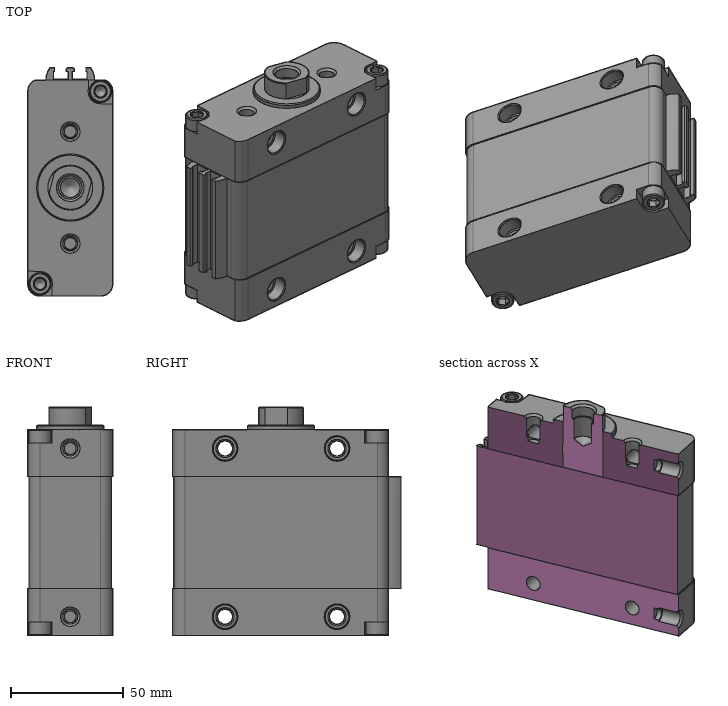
import cadquery as cq
import math

cap_height = 21.0
barrel_height = 50.0
cap_width = 38.0
cap_corner_radius = 5.5
barrel_corner_radius = 5.0
screw_y = 42.9

rail_top_y = 53.5
rail_floor_y = 48.6
rail_half_base = 10.9
rail_half_top = 9.1
lip_half_gap = 6.9
slot_half_width = 7.4
lip_thickness = 1.8
tee_half_width = 1.8
tee_stem_half_width = 0.9
tee_corner = 0.6

pocket_diameter = 11.0
pocket_depth = 6.0
pocket_turn = -2.0
head_diameter = 10.0
head_height = pocket_depth
head_chamfer = 0.5
socket_width = 5.0
socket_rim_diameter = 5.9
socket_depth = 4.1

hole_spacing = 50.0
hole_inset = 8.5
tap_rim_diameter = 8.7
tap_diameter = 6.6
tap_core_diameter = 5.3
tap_depth = 10.0
tap_core_depth = 12.2
mount_bore_diameter = 10.5
mount_rim_diameter = 11.4
mount_bore_depth = 6.1
mount_seat_diameter = 8.2
mount_hole_diameter = 6.6

collar_diameter = 30.0
collar_height = 2.0
collar_chamfer = 0.5
rod_diameter = 20.0
rod_reach = 10.0
rod_chamfer = 0.3
flat_width = 17.0
flat_turn = -15.0
rod_rim_diameter = 12.3
rod_bore_diameter = 10.4
rod_bore_depth = 5.5
rod_core_diameter = 8.8
rod_core_depth = 15.3
drill_half_angle = 59.0

screw_x = cap_width / 2 - cap_corner_radius
back_y = screw_y + barrel_corner_radius
top_cap_z = cap_height + barrel_height
top_z = top_cap_z + cap_height
rod_top_z = top_z + rod_reach


def cone_down(diameter, tip_half_angle=drill_half_angle):
    """Drill point below Z = 0, pointing down."""
    radius = diameter / 2
    depth = radius / math.tan(math.radians(tip_half_angle))
    return cq.Solid.makeCone(radius, 0, depth, dir=cq.Vector(0, 0, -1))


def countersink(large_diameter, small_diameter):
    """45 degree rim cutter below Z = 0."""
    depth = (large_diameter - small_diameter) / 2
    return cq.Solid.makeCone(large_diameter / 2, small_diameter / 2, depth, dir=cq.Vector(0, 0, -1))


def bore(diameter, depth):
    """Plain round cutter below Z = 0."""
    return cq.Solid.makeCylinder(diameter / 2, depth, dir=cq.Vector(0, 0, -1))


def rounded_block(corner_radius, height):
    """Block with vertical edges rounded about the screw axes, cut flat at the back."""
    front_y = -(screw_y + corner_radius)
    depth = back_y - front_y
    in_front_of_back = (
        cq.Workplane("XY")
        .center(0, (front_y + back_y) / 2)
        .rect(cap_width, depth)
        .extrude(height)
    )
    return (
        cq.Workplane("XY")
        .rect(2 * (screw_x + corner_radius), 2 * (screw_y + corner_radius))
        .extrude(height)
        .edges("|Z")
        .fillet(corner_radius)
        .intersect(in_front_of_back)
    )


def tapped_hole():
    """Countersunk thread bore with a narrower core hole below it."""
    cutter = cq.Workplane(bore(tap_core_diameter, tap_core_depth))
    cutter = cutter.union(bore(tap_diameter, tap_depth))
    return cutter.union(countersink(tap_rim_diameter, tap_diameter))


def mounting_hole():
    """Through hole along X, counterbored from both sides."""
    half_width = screw_x + cap_corner_radius
    cutter = cq.Workplane(bore(mount_hole_diameter, half_width))
    cutter = cutter.union(bore(mount_bore_diameter, mount_bore_depth))
    cutter = cutter.union(countersink(mount_rim_diameter, mount_bore_diameter))
    seat = countersink(mount_seat_diameter, mount_hole_diameter)
    cutter = cutter.union(cq.Workplane(seat).translate((0, 0, -mount_bore_depth)))
    cutter = cutter.translate((0, 0, half_width)).rotate((0, 0, 0), (0, 1, 0), -90)
    return cutter.union(cutter.mirror("YZ"))


def screw_pocket():
    """Corner pocket, open to +X and +Y, round on its inner corner; centred on the screw axis."""
    radius = pocket_diameter / 2
    reach = 2 * radius
    return (
        cq.Workplane("XY")
        .moveTo(-radius, reach)
        .lineTo(-radius, 0)
        .radiusArc((0, -radius), -radius)
        .lineTo(reach, -radius)
        .lineTo(reach, reach)
        .close()
        .extrude(-pocket_depth)
        .rotate((0, 0, 0), (0, 0, 1), pocket_turn)
    )


def screw_head():
    """Socket head standing on the pocket floor, which is at Z = 0."""
    head = cq.Workplane("XY").circle(head_diameter / 2).extrude(head_height)
    head = head.faces(">Z").edges().chamfer(head_chamfer)
    socket = (
        cq.Workplane("XY")
        .polygon(6, socket_width, circumscribed=True)
        .extrude(-socket_depth)
        .rotate((0, 0, 0), (0, 0, 1), 30)
    )
    socket = socket.union(countersink(socket_rim_diameter, socket_width))
    socket = socket.union(cq.Workplane(cone_down(socket_width)).translate((0, 0, -socket_depth)))
    return head.cut(socket.translate((0, 0, head_height)))


def make_cap():
    """Cap from Z = 0 up to its outer end face, with two corner screw heads."""
    cap = rounded_block(cap_corner_radius, cap_height)

    hole_z = cap_height - hole_inset
    for y in (-hole_spacing / 2, hole_spacing / 2):
        cap = cap.cut(mounting_hole().translate((0, y, hole_z)))

    front_y = -(screw_y + cap_corner_radius)
    port = tapped_hole().rotate((0, 0, 0), (1, 0, 0), 90)
    cap = cap.cut(port.translate((0, front_y, hole_z)))

    pocket = screw_pocket().translate((screw_x, screw_y, cap_height))
    head = screw_head().translate((screw_x, screw_y, cap_height - pocket_depth))
    for turn in (0, 180):
        cap = cap.cut(pocket.rotate((0, 0, 0), (0, 0, 1), turn))
        cap = cap.union(head.rotate((0, 0, 0), (0, 0, 1), turn))
    return cap


def make_bottom_cap():
    """Plain cap turned over, so its outer end face lies on Z = 0."""
    return make_cap().mirror("XY").translate((0, 0, cap_height))


def make_top_cap():
    """Cap with end taps, the bearing collar and the rod bore."""
    cap = make_cap()
    for y in (-hole_spacing / 2, hole_spacing / 2):
        cap = cap.cut(tapped_hole().translate((0, y, cap_height)))
    collar = cq.Workplane("XY").circle(collar_diameter / 2).extrude(collar_height)
    collar = collar.faces(">Z").edges().chamfer(collar_chamfer)
    cap = cap.union(collar.translate((0, 0, cap_height)))
    cap = cap.cut(cq.Workplane("XY").circle(rod_diameter / 2).extrude(cap_height + collar_height))
    return cap.translate((0, 0, top_cap_z))


def rail_profile():
    """Half of the rail section on +X: tee, slot floor and curved outer wall."""
    lip_y = rail_top_y - lip_thickness
    return (
        cq.Workplane("XY")
        .moveTo(0, screw_y)
        .lineTo(rail_half_base, screw_y)
        .lineTo(rail_half_base, back_y)
        .tangentArcPoint((rail_half_top, rail_top_y), relative=False)
        .lineTo(lip_half_gap, rail_top_y)
        .lineTo(lip_half_gap, lip_y)
        .lineTo(slot_half_width, lip_y)
        .lineTo(slot_half_width, rail_floor_y)
        .lineTo(tee_stem_half_width, rail_floor_y)
        .lineTo(tee_stem_half_width, lip_y)
        .lineTo(tee_half_width, lip_y)
        .lineTo(tee_half_width, rail_top_y - tee_corner)
        .lineTo(tee_half_width - tee_corner, rail_top_y)
        .lineTo(0, rail_top_y)
        .close()
    )


def make_barrel():
    half_rail = rail_profile().extrude(barrel_height)
    barrel = rounded_block(barrel_corner_radius, barrel_height)
    barrel = barrel.union(half_rail).union(half_rail.mirror("YZ"))
    return barrel.translate((0, 0, cap_height))


def make_rod():
    length = rod_top_z - top_cap_z
    rod = cq.Workplane("XY").circle(rod_diameter / 2).extrude(length)
    rod = rod.faces(">Z").edges().chamfer(rod_chamfer)

    flat_height = rod_reach - collar_height
    flats = (
        cq.Workplane("XY")
        .rect(2 * rod_diameter, 2 * rod_diameter)
        .rect(flat_width, 2 * rod_diameter)
        .extrude(flat_height)
        .rotate((0, 0, 0), (0, 0, 1), flat_turn)
    )
    rod = rod.cut(flats.translate((0, 0, length - flat_height)))

    end_hole = cq.Workplane(bore(rod_core_diameter, rod_core_depth))
    end_hole = end_hole.union(bore(rod_bore_diameter, rod_bore_depth))
    end_hole = end_hole.union(countersink(rod_rim_diameter, rod_bore_diameter))
    end_hole = end_hole.union(cq.Workplane(cone_down(rod_core_diameter)).translate((0, 0, -rod_core_depth)))
    rod = rod.cut(end_hole.translate((0, 0, length)))
    return rod.translate((0, 0, top_cap_z))


bottom_cap = make_bottom_cap()
barrel = make_barrel()
top_cap = make_top_cap()
rod = make_rod()

result = cq.Compound.makeCompound([bottom_cap.val(), barrel.val(), top_cap.val(), rod.val()])